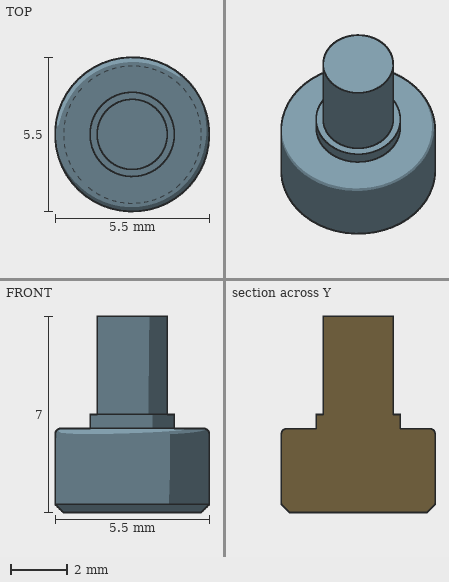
import cadquery as cq

total_height = 7.0
head_diameter = 5.5

head_height = 3.0
rim_fillet = 0.21
base_chamfer = 0.3

collar_diameter = 3.0
collar_height = 0.5
pin_diameter = 2.5
pin_height = total_height - head_height - collar_height


def make_head():
    head = cq.Workplane("XY").circle(head_diameter / 2).extrude(head_height)
    head = head.faces(">Z").edges().fillet(rim_fillet)
    return head.faces("<Z").edges().chamfer(base_chamfer)


def add_boss(body, diameter, height):
    """Add a concentric cylinder on the top face of the body."""
    return body.faces(">Z").workplane().circle(diameter / 2).extrude(height)


head = make_head()
head_and_collar = add_boss(head, collar_diameter, collar_height)
result = add_boss(head_and_collar, pin_diameter, pin_height)